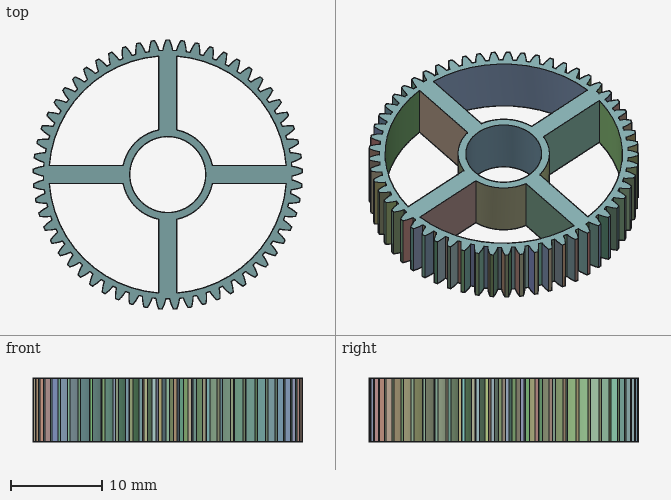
import cadquery as cq
import math

module = 0.5
tooth_count = 57
pressure_angle = math.radians(20)
face_width = 7.0
dedendum_factor = 1.25
addendum = module
dedendum = dedendum_factor * module
tooth_thickness = math.pi * module / 2
first_tooth_angle = math.pi / 2

pitch_radius = module * tooth_count / 2
base_radius = pitch_radius * math.cos(pressure_angle)
tip_radius = pitch_radius + addendum
root_radius = pitch_radius - dedendum
tooth_pitch = 2 * math.pi / tooth_count
flank_points = 4

rim_inner_radius = 13.0
hub_radius = 5.0
bore_diameter = 8.3
spoke_width = 2.0
spoke_count = 4


def polar(radius, angle):
    """Cartesian point from a radius and an angle."""
    return (radius * math.cos(angle), radius * math.sin(angle))


def involute(angle):
    """Involute function of a pressure angle in radians."""
    return math.tan(angle) - angle


def half_tooth_angle(radius):
    """Angle from the tooth centre line to its involute flank at a radius."""
    roll = math.acos(base_radius / radius)
    return tooth_thickness / (2 * pitch_radius) + involute(pressure_angle) - involute(roll)


def flank(centre, side):
    """Points up one tooth flank, from root to tip; side is +1 or -1."""
    step = (tip_radius - root_radius) / (flank_points - 1)
    radii = [root_radius + i * step for i in range(flank_points)]
    return [polar(r, centre + side * half_tooth_angle(r)) for r in radii]


def gear_blank():
    """Solid spur gear with involute teeth and root-circle arcs between them."""
    outline = cq.Workplane("XY").moveTo(*flank(first_tooth_angle, -1)[0])
    for i in range(tooth_count):
        centre = first_tooth_angle + i * tooth_pitch
        rising = flank(centre, -1)
        falling = flank(centre, 1)[::-1]
        next_start = flank(centre + tooth_pitch, -1)[0]
        outline = outline.spline(rising[1:], includeCurrent=True)
        outline = outline.threePointArc(polar(tip_radius, centre), falling[0])
        outline = outline.spline(falling[1:], includeCurrent=True)
        outline = outline.threePointArc(polar(root_radius, centre + tooth_pitch / 2), next_start)
    return outline.close().extrude(face_width)


def spokes():
    """Radial bars running from the wheel axis to the middle of the rim wall."""
    length = (rim_inner_radius + root_radius) / 2
    bars = cq.Workplane("XY")
    for i in range(spoke_count):
        bar = cq.Workplane("XY").box(length, spoke_width, face_width, centered=(False, True, False))
        bars = bars.add(bar.rotate((0, 0, 0), (0, 0, 1), i * 360 / spoke_count))
    return bars.combine()


def wheel():
    """Gear with window openings between the spokes, around a bored hub."""
    opening = cq.Workplane("XY").circle(rim_inner_radius).extrude(face_width)
    hub = cq.Workplane("XY").circle(hub_radius).extrude(face_width)
    bore = cq.Workplane("XY").circle(bore_diameter / 2).extrude(face_width)
    web_openings = opening.cut(hub).cut(spokes())
    return gear_blank().cut(web_openings).cut(bore)


result = wheel()